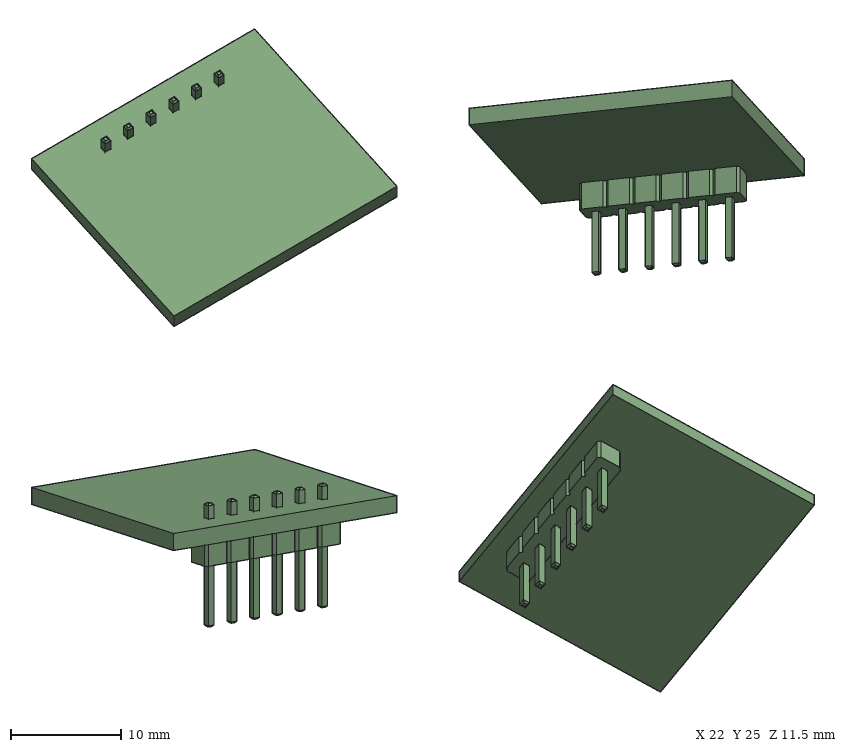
import cadquery as cq

board_width = 22.0
board_length = 25.0
board_thickness = 1.6

pin_count = 6
pin_row_span = 12.7
pin_pitch = pin_row_span / (pin_count - 1)
pin_edge_distance = 3.0
pin_row_x = pin_edge_distance - board_width / 2
pin_places = [
    (pin_row_x, i * pin_pitch - pin_row_span / 2) for i in range(pin_count)
]

block_width = pin_pitch
block_height = pin_pitch
block_chamfer = pin_pitch / 10

pin_width = 0.65
pin_above_board = 1.4
pin_below_block = 6.0
pin_bottom = -block_height - pin_below_block
pin_top = board_thickness + pin_above_board
pin_tip_chamfer = pin_width / 4


def make_board():
    """Flat board with a square hole that fits each pin."""
    return (
        cq.Workplane("XY")
        .rect(board_width, board_length)
        .extrude(board_thickness)
        .pushPoints(pin_places)
        .rect(pin_width, pin_width)
        .cutThruAll()
    )


def make_block(place):
    """Plastic block under the board, with chamfered upright edges."""
    return (
        cq.Workplane("XY")
        .center(*place)
        .rect(block_width, pin_pitch)
        .extrude(-block_height)
        .edges("|Z")
        .chamfer(block_chamfer)
    )


def make_pin(place):
    """Square pin running from below the block to above the board."""
    return (
        cq.Workplane("XY", origin=(0, 0, pin_bottom))
        .center(*place)
        .rect(pin_width, pin_width)
        .extrude(pin_top - pin_bottom)
        .faces("<Z or >Z")
        .chamfer(pin_tip_chamfer)
    )


def make_pin_header():
    """Row of blocks and their pins, formed as one body."""
    header = cq.Workplane("XY")
    for place in pin_places:
        header = header.union(make_block(place)).union(make_pin(place))
    return header


board = make_board()
pin_header = make_pin_header()

result = cq.Compound.makeCompound([board.solids().val(), pin_header.solids().val()])